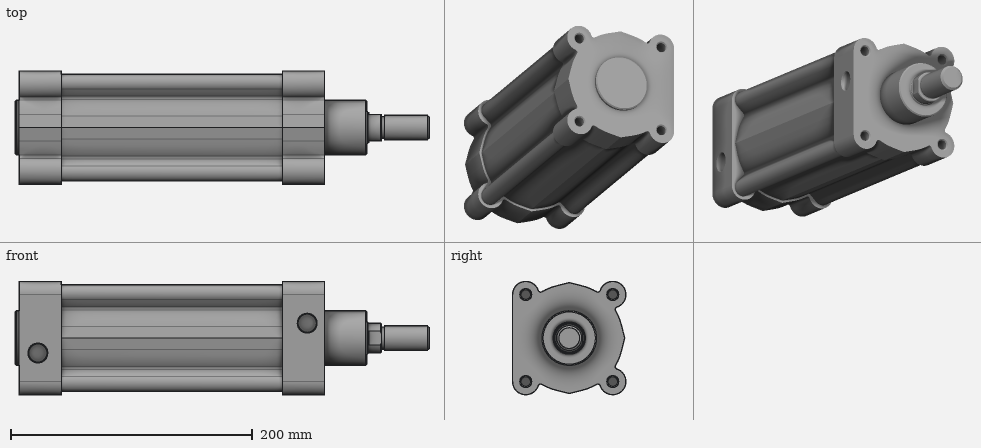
import cadquery as cq
import math


overall_length = 343.0
rear_cover_start = 3.5
cover_length = 35.0
front_cover_end = 256.2
nose_end = 291.2
rear_cover_end = rear_cover_start + cover_length
front_cover_start = front_cover_end - cover_length

cover_radius = 44.5
cover_flat_half = 11.0
lug_offset = 36.0
lug_radius = 11.0
cover_root_fillet = 2.0
port_face_offset = lug_offset + lug_radius
barrel_radius = 43.0
barrel_flat_half = 9.5
bar_offset = 37.0
bar_radius = 7.2
bar_root_fillet = 2.0

rear_port_x = 19.0
front_port_x = 241.8
port_height = 12.5
port_radius = 7.5
port_depth = 13.7
port_chamfer = 0.7
screw_hole_diameter = 8.0
screw_hole_depth = 17.0
screw_hole_chamfer = 1.0

spigot_radius = 22.5
spigot_chamfer = 1.0

wiper_length = 1.0
wiper_base_radius = 13.5
wiper_tip_radius = 12.7

rod_radius = 12.5
wrench_width = 22.0
wrench_flat_start = 293.0
shoulder_end = 303.2
shoulder_chamfer = 0.7
undercut_radius = 9.3
thread_start = 306.0
thread_radius = 10.3
thread_chamfer = 1.7


def section_at(x):
    """Workplane across the axis at x, with local axes Y and Z and normal +X."""
    return cq.Workplane("YZ", origin=(x, 0, 0))


def square_corners(offset):
    """Corners (y, z) of a square centred on the axis."""
    return [(y * offset, z * offset) for y in (-1, 1) for z in (-1, 1)]


def turned(y, z, angle):
    """Point (y, z) turned about the axis by an angle in radians."""
    return (
        y * math.cos(angle) - z * math.sin(angle),
        y * math.sin(angle) + z * math.cos(angle),
    )


def ridged_round(x_start, length, radius, flat_half):
    """Cylinder with a low ridge on each of four sides, formed by two flats tangent to the round."""
    tangent_offset = math.sqrt(radius**2 - flat_half**2)
    ridge_offset = radius**2 / tangent_offset
    outline = section_at(x_start).moveTo(ridge_offset, 0)
    for side in range(4):
        angle = side * math.pi / 2
        outline = outline.lineTo(*turned(tangent_offset, flat_half, angle))
        outline = outline.threePointArc(
            turned(radius, 0, angle + math.pi / 4),
            turned(flat_half, tangent_offset, angle),
        )
        outline = outline.lineTo(*turned(0, ridge_offset, angle))
    return outline.close().extrude(length)


def fillet_roots(body, round_radius, fillet_radius):
    """Round the lengthwise inner corners, which lie on the main round beside the lugs or bars."""
    roots = []
    for edge in body.edges("|X").vals():
        centre = edge.Center()
        on_round = math.isclose(math.hypot(centre.y, centre.z), round_radius, abs_tol=0.05)
        if on_round and min(abs(centre.y), abs(centre.z)) > round_radius / 3:
            roots.append(edge)
    return body.newObject(roots).fillet(fillet_radius)


def chamfered_hole_cutter(workplane, radius, depth, chamfer):
    """Round cutter sunk from the workplane against its normal, flared at the mouth."""
    bore = workplane.circle(radius).extrude(-depth)
    flare = cq.Solid.makeCone(
        radius + chamfer, radius, chamfer, workplane.plane.origin, workplane.plane.zDir * -1
    )
    return bore.union(cq.Workplane(flare))


def cover_block(x_start):
    """Ridged round with four corner lugs and a flat port side at -Y."""
    body = ridged_round(x_start, cover_length, cover_radius, cover_flat_half)
    lugs = section_at(x_start).pushPoints(square_corners(lug_offset)).circle(lug_radius).extrude(cover_length)
    port_side = (
        section_at(x_start)
        .center(-port_face_offset / 2, 0)
        .rect(port_face_offset, 2 * lug_offset)
        .extrude(cover_length)
    )
    return fillet_roots(body.union(lugs).union(port_side), cover_radius, cover_root_fillet)


def make_cover(x_start, outer_face_x, outward, spigot_length, port_x, port_z):
    """End cover; outward is +1 or -1, the X direction in which its outer face looks."""
    outer_face = cq.Plane(origin=(outer_face_x, 0, 0), xDir=(0, 1, 0), normal=(outward, 0, 0))
    spigot = cq.Workplane(outer_face).circle(spigot_radius).extrude(spigot_length)
    end_face = ">X" if outward > 0 else "<X"
    cover = cover_block(x_start).union(spigot.faces(end_face).chamfer(spigot_chamfer))

    port_plane = cq.Workplane("XZ", origin=(port_x, -port_face_offset, port_z))
    cover = cover.cut(chamfered_hole_cutter(port_plane, port_radius, port_depth, port_chamfer))
    for y, z in square_corners(lug_offset):
        hole_plane = cq.Workplane(
            cq.Plane(origin=(outer_face_x, y, z), xDir=(0, 1, 0), normal=(outward, 0, 0))
        )
        cover = cover.cut(
            chamfered_hole_cutter(hole_plane, screw_hole_diameter / 2, screw_hole_depth, screw_hole_chamfer)
        )
    return cover


def make_rear_cover():
    return make_cover(
        rear_cover_start, rear_cover_start, -1, rear_cover_start, rear_port_x, -port_height
    )


def make_front_cover():
    """Front cover with its long nose, wiper ring and through bore for the rod."""
    cover = make_cover(
        front_cover_start, front_cover_end, 1, nose_end - front_cover_end, front_port_x, port_height
    )
    wiper = cq.Solid.makeCone(
        wiper_base_radius, wiper_tip_radius, wiper_length, cq.Vector(nose_end, 0, 0), cq.Vector(1, 0, 0)
    )
    bore = section_at(front_cover_start).circle(rod_radius).extrude(overall_length)
    return cover.union(cq.Workplane(wiper)).cut(bore)


def barrel_bars():
    """Four round corner bars, each joined toward the axis by a web as wide as the bar."""
    length = front_cover_start - rear_cover_end
    bars = section_at(rear_cover_end)
    bars = bars.pushPoints(square_corners(bar_offset)).circle(bar_radius).extrude(length)
    web_reach = bar_offset * math.sqrt(2)
    for corner in range(4):
        web = (
            section_at(rear_cover_end)
            .center(web_reach / 2, 0)
            .rect(web_reach, 2 * bar_radius)
            .extrude(length)
            .rotate((0, 0, 0), (1, 0, 0), 45 + 90 * corner)
        )
        bars = bars.union(web)
    return bars


def make_barrel():
    length = front_cover_start - rear_cover_end
    core = ridged_round(rear_cover_end, length, barrel_radius, barrel_flat_half)
    return fillet_roots(core.union(barrel_bars()), barrel_radius, bar_root_fillet)


def make_rod():
    """Stepped rod from the barrel's front end to the thread tip, with two wrench flats."""
    profile = [
        (front_cover_start, 0),
        (front_cover_start, rod_radius),
        (shoulder_end - shoulder_chamfer, rod_radius),
        (shoulder_end, rod_radius - shoulder_chamfer),
        (shoulder_end, undercut_radius),
        (thread_start, undercut_radius),
        (thread_start, thread_radius),
        (overall_length - thread_chamfer, thread_radius),
        (overall_length, thread_radius - thread_chamfer),
        (overall_length, 0),
    ]
    rod = cq.Workplane("XY").polyline(profile).close().revolve(360, (0, 0, 0), (1, 0, 0))
    flat_depth = rod_radius - wrench_width / 2
    for side in (-1, 1):
        flat = (
            section_at(wrench_flat_start)
            .center(side * (wrench_width + flat_depth) / 2, 0)
            .rect(flat_depth, 2 * rod_radius)
            .extrude(shoulder_end - wrench_flat_start)
        )
        rod = rod.cut(flat)
    return rod


rear_cover = make_rear_cover()
front_cover = make_front_cover()
barrel = make_barrel()
rod = make_rod()

result = cq.Compound.makeCompound([rear_cover.val(), front_cover.val(), barrel.val(), rod.val()])